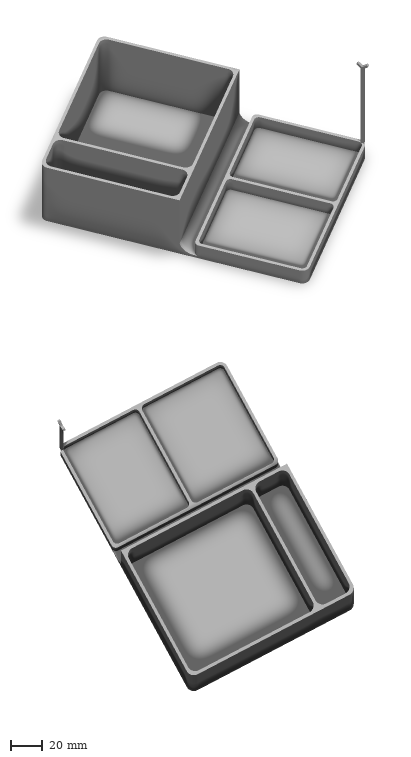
import cadquery as cq
import math

length = 180.0
width = 120.0
base_height = 2.0
bin_height = 50.0
tray_height = 12.0
wall = 2.0
outer_radius = 5.0

bin_end = 94.0
bin_pocket_length = 90.0
bin_pocket_radius = 5.0
small_bin_width = 24.0

channel_radius = 10.0
tray_start = 103.7
tray_radius = 3.0
front_tray_width = 59.4

overall_length = 181.5
overall_height = 85.9
mast_width = 2.5
mast_depth = 1.8
mast_rear_gap = 0.7
fork_span = 8.2
fork_bar = 1.6
fork_angle = 42.0


def block(x0, y0, z0, x1, y1, z1):
    """Box given by two opposite corners."""
    return cq.Workplane("XY").box(x1 - x0, y1 - y0, z1 - z0, centered=False).translate((x0, y0, z0))


def make_base():
    """Floor slab and channel filler under one rounded outline."""
    slab = block(0, 0, 0, length, width, base_height)
    filler_height = base_height + channel_radius
    filler = block(0, 0, 0, tray_start + tray_radius, width, filler_height)
    channel = (
        cq.Workplane("XZ")
        .center(tray_start, filler_height)
        .circle(channel_radius)
        .extrude(-width)
    )
    bins = block(0, 0, 0, bin_end, width, bin_height)
    body = slab.union(filler.cut(channel)).union(bins)
    outline = block(0, 0, 0, length, width, bin_height).edges("|Z").fillet(outer_radius)
    return body.intersect(outline)


def make_tray_block():
    """Low block with small corners facing the channel."""
    tray = block(tray_start, 0, base_height, length, width, tray_height)
    tray = tray.edges("|Z and <X").fillet(tray_radius)
    tray = tray.edges("|Z and >X").fillet(outer_radius)
    return tray


def make_pockets(x0, x1, divider_y, top, radius):
    """Front and rear pockets, with a wall between them starting at divider_y."""
    front = block(x0, wall, base_height, x1, divider_y, top)
    rear = block(x0, divider_y + wall, base_height, x1, width - wall, top)
    return front.edges("|Z").fillet(radius).union(rear.edges("|Z").fillet(radius))


def make_mast():
    """Flat upright with two sloping arms at its top."""
    angle = math.radians(fork_angle)
    tip_drop = fork_bar * math.cos(angle)
    tip_inset = fork_bar * math.sin(angle)
    slope = math.tan(angle)
    half_span = fork_span / 2
    half_width = mast_width / 2
    tip_low = overall_height - tip_drop
    shoulder = tip_low - (half_span - half_width) * slope
    notch = overall_height - (half_span - tip_inset) * slope
    right_side = [
        (half_width, tray_height),
        (half_width, shoulder),
        (half_span, tip_low),
        (half_span - tip_inset, overall_height),
    ]
    left_side = [(-x, z) for x, z in reversed(right_side)]
    profile = right_side + [(0, notch)] + left_side
    mast = cq.Workplane("XZ").polyline(profile).close().extrude(mast_depth)
    return mast.translate((overall_length - half_span, width - mast_rear_gap, 0))


bin_pockets = make_pockets(
    wall, wall + bin_pocket_length, wall + small_bin_width, bin_height, bin_pocket_radius
)
tray_pockets = make_pockets(
    tray_start + wall, length - wall, wall + front_tray_width, tray_height, tray_radius
)

result = make_base().union(make_tray_block()).cut(bin_pockets).cut(tray_pockets).union(make_mast())